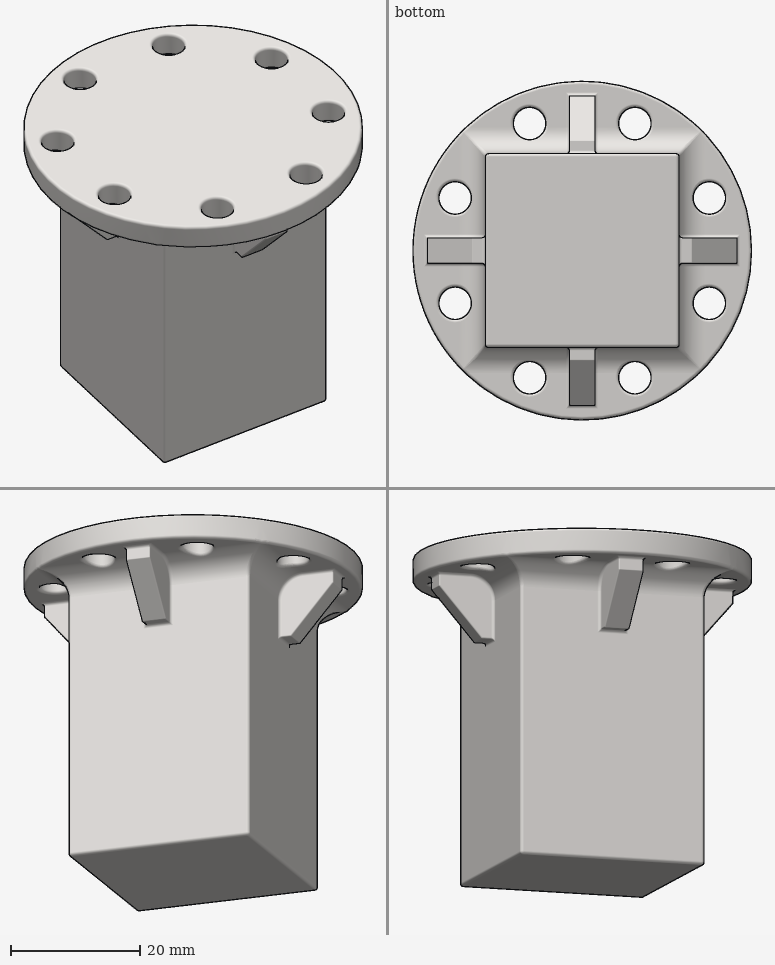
import cadquery as cq
import math

flange_diameter = 52.45
flange_thickness = 4.0
total_height = 50.0
post_width = 30.0
post_flare_radius = 4.0
edge_radius = 0.5

hole_count = 8
hole_diameter = 5.0
hole_circle_radius = 21.3

rib_count = 4
rib_width = 4.0
rib_reach = 23.95
rib_lip_depth = 2.1
rib_foot_reach = 17.0
rib_foot_depth = 10.0
rib_edge_radius = 0.2

flange_radius = flange_diameter / 2
flange_bottom = total_height - flange_thickness
flange_middle = total_height - flange_thickness / 2
post_half = post_width / 2
flare_half = post_half + post_flare_radius
flare_start = flange_bottom - post_flare_radius
arc_middle = post_flare_radius * (1 - math.sqrt(0.5))

surface_tolerance = 0.0005


def flared_wall(plane):
    """Straight wall whose two sides curve outward to meet the flange."""
    return (
        cq.Workplane(plane)
        .moveTo(-post_half, 0)
        .lineTo(post_half, 0)
        .lineTo(post_half, flare_start)
        .threePointArc(
            (post_half + arc_middle, flange_bottom - arc_middle),
            (flare_half, flange_bottom),
        )
        .lineTo(flare_half, flange_middle)
        .lineTo(-flare_half, flange_middle)
        .lineTo(-flare_half, flange_bottom)
        .threePointArc(
            (-post_half - arc_middle, flange_bottom - arc_middle),
            (-post_half, flare_start),
        )
        .close()
        .extrude(flange_radius, both=True)
    )


def make_base():
    """Flange on a square post, with a flare mitred at the corners and rounded outer edges."""
    envelope = cq.Workplane("XY").circle(flange_radius).extrude(total_height)
    post = flared_wall("XZ").intersect(flared_wall("YZ")).intersect(envelope)
    flange = cq.Workplane("XY", origin=(0, 0, flange_bottom))
    flange = flange.circle(flange_radius).extrude(flange_thickness)
    return flange.union(post).edges("<Z or (not %LINE)").fillet(edge_radius)


def make_ribs():
    """Gussets with a slanted outer side, buried in the post and flange."""
    rib_bottom = flange_bottom - rib_foot_depth
    buried_reach = post_half / 2
    rib = (
        cq.Workplane("XZ")
        .moveTo(buried_reach, flange_middle)
        .lineTo(rib_reach, flange_middle)
        .lineTo(rib_reach, flange_bottom - rib_lip_depth)
        .lineTo(rib_foot_reach, rib_bottom)
        .lineTo(buried_reach, rib_bottom)
        .close()
        .extrude(rib_width / 2, both=True)
    )
    ribs = cq.Workplane("XY")
    for index in range(rib_count):
        ribs = ribs.add(rib.rotate((0, 0, 0), (0, 0, 1), index * 360 / rib_count))
    return ribs.combine()


def make_hole_pins():
    """Cylinders that cut the bolt holes through the flange and the flare."""
    step = 360 / hole_count
    return (
        cq.Workplane("XY", origin=(0, 0, flare_start))
        .polarArray(hole_circle_radius, step / 2, 360, hole_count)
        .circle(hole_diameter / 2)
        .extrude(total_height - flare_start)
    )


def middle_of(edge):
    """Vertex halfway along the edge."""
    return cq.Vertex.makeVertex(*edge.positionAt(0.5).toTuple())


def lies_on(edge, shape):
    """True when the middle of the edge is on the surface of the shape."""
    return any(middle_of(edge).distance(shell) < surface_tolerance for shell in shape.shells().vals())


def shared_edges(body, first, second):
    """Edges of the body where the surfaces of two shapes meet."""
    edges = body.edges().vals()
    return body.newObject([e for e in edges if lies_on(e, first) and lies_on(e, second)])


def kept_edges(body, shape):
    """Edges of the body that run along an edge of the shape."""
    outlines = cq.Compound.makeCompound(shape.edges().vals())
    edges = body.edges().vals()
    return body.newObject([e for e in edges if middle_of(e).distance(outlines) < surface_tolerance])


base = make_base()
ribs = make_ribs()
ribbed = base.union(ribs)
ribbed = shared_edges(ribbed, base, ribs).fillet(edge_radius)
ribbed = kept_edges(ribbed, ribs).fillet(rib_edge_radius)

pins = make_hole_pins()
drilled = ribbed.cut(pins)
result = shared_edges(drilled, ribbed, pins).fillet(edge_radius).solids()